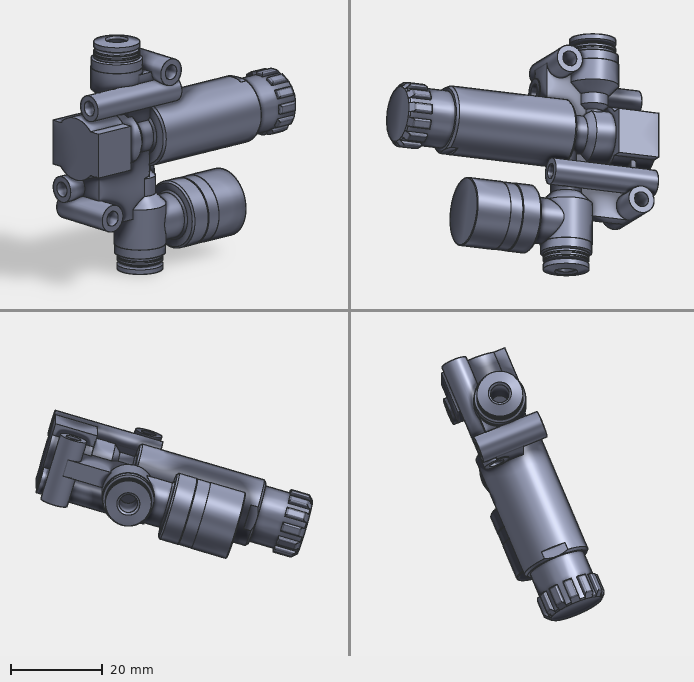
import cadquery as cq


total_length = 59.0
width = 15.0
block_length = 9.5
block_height = 10.0
block_round_d = 14.0
valve_front_d = 11.8
valve_front_end = 14.1
valve_neck_d = 8.85
valve_neck_start = 15.6
barrel_d = 15.0
barrel_start = 19.35
barrel_front_chamfer = 0.5
barrel_end = 48.1
barrel_end_chamfer = 0.55
flat_offset = 6.95
flat_length = 2.2
collar_d = 12.6
neck_flare = 0.5

knob_d = 14.2
knob_length = 5.25
knob_chamfer = 1.1
tooth_count = 12
tooth_width = 2.0
tooth_rounding = 0.35

tube_d = 11.45
tube_end_ring_d = 11.2
tube_end_ring_length = 2.0
fitting_neck_d = 6.8
fitting_stem_d = 4.55
seat_d = 9.7
rib_d = 10.1
rib_width = 0.55
rib_offsets = (0.25, 1.1)
seat_length = 1.95
release_neck_d = 6.0
release_start = 2.65
release_edge_end = 3.7
fitting_tip = 4.2
bore_mouth_d = 5.0
bore_d = 4.0
bore_depth = 10.6

upper_x = -1.0
upper_y = 12.9
upper_tube_end = 18.05
upper_tube_length = 6.7
upper_neck_length = 2.35
lower_y = 18.8
lower_tube_end = 26.95
lower_tube_length = 11.15
lower_neck_length = 4.0

port_z = -20.3
port_d = 15.0
port_band_d = 14.85
port_neck_d = 10.1
port_start = 27.8
port_band_start = 32.4
port_band_end = 35.3
port_end = 43.3
port_front_chamfer = 0.4
port_end_chamfer = 0.2
port_groove_width = 0.2
port_groove_depth = 0.2

cross_tube_d = 6.0
long_tube_d = 5.8
mount_hole_d = 3.3
long_tube_length = 24.5
long_tube_x = 4.5
long_tube_z = 10.15
cross_tube_z = 15.0
upper_cross_y = 21.25
lower_cross_y = 4.15
upper_web_x = -1.95
upper_link_x = 2.65
lower_web_x = (-0.7, 3.05)
rib_plate_thickness = 1.1
rib_plate_reach = 4.4


def turned(profile):
    """Solid of revolution about Z from (diameter, height) pairs."""
    points = [(0, profile[0][1])]
    points += [(diameter / 2, height) for diameter, height in profile]
    points += [(0, profile[-1][1])]
    return cq.Workplane("XZ").polyline(points).close().revolve(360, (0, 0), (0, 1))


def along_y(solid):
    """Turn a solid built along +Z so that it runs along +Y."""
    return solid.rotate((0, 0, 0), (1, 0, 0), -90)


def box(x_range, y_range, z_range):
    lengths = [high - low for low, high in (x_range, y_range, z_range)]
    corner = (x_range[0], y_range[0], z_range[0])
    return cq.Workplane("XY").box(*lengths, centered=False).translate(corner)


def rod_y(diameter, length, x, z):
    return along_y(cq.Workplane("XY").circle(diameter / 2).extrude(length)).translate((x, 0, z))


def rod_x(diameter, y, z):
    rod = cq.Workplane("YZ").circle(diameter / 2).extrude(width)
    return rod.translate((-width / 2, y, z))


def make_valve():
    collar_chamfer = knob_chamfer - (knob_d - collar_d) / 2
    body = along_y(turned([
        (block_round_d, 0),
        (block_round_d, block_length),
        (valve_front_d, block_length),
        (valve_front_d, valve_front_end),
        (valve_neck_d, valve_neck_start),
        (valve_neck_d, barrel_start - neck_flare),
        (valve_neck_d + 2 * neck_flare, barrel_start),
        (barrel_d - 2 * barrel_front_chamfer, barrel_start),
        (barrel_d, barrel_start + barrel_front_chamfer),
        (barrel_d, barrel_end - barrel_end_chamfer),
        (barrel_d - 2 * barrel_end_chamfer, barrel_end),
        (collar_d, barrel_end),
        (collar_d, total_length - collar_chamfer),
        (collar_d - 2 * collar_chamfer, total_length),
    ]))
    block = box(
        (-width / 2, width / 2),
        (0, block_length),
        (-block_height / 2, block_height / 2),
    )
    flat_cut = box(
        (-barrel_d, barrel_d),
        (barrel_end - flat_length, barrel_end),
        (flat_offset, barrel_d),
    )
    return body.cut(flat_cut).cut(flat_cut.mirror("XY")).union(block)


def make_knob_teeth():
    """Teeth around the collar, rounded over the tip and chamfered toward the end face."""
    start = total_length - knob_length
    root = collar_d / 2 - knob_chamfer
    tip = knob_d / 2
    side = [
        (start, root),
        (start, tip),
        (total_length - knob_chamfer, tip),
        (total_length, tip - knob_chamfer),
        (total_length, root),
    ]
    tooth = cq.Workplane("YZ").polyline(side).close().extrude(tooth_width / 2, both=True)
    tooth = tooth.faces(">Z").edges().fillet(tooth_rounding)
    teeth = cq.Workplane("XY")
    for index in range(tooth_count):
        teeth = teeth.union(tooth.rotate((0, 0, 0), (0, 1, 0), index * 360 / tooth_count))
    return teeth


def make_fitting(tube_end, tube_length, neck_length):
    """Push-in fitting that rises along +Z from the origin."""
    tube_start = tube_end - tube_length
    neck_end = tube_start - (tube_d - fitting_neck_d) / 2
    neck_start = neck_end - neck_length
    stem_end = neck_start - (fitting_neck_d - fitting_stem_d) / 2
    profile = [
        (fitting_stem_d, 0),
        (fitting_stem_d, stem_end),
        (fitting_neck_d, neck_start),
        (fitting_neck_d, neck_end),
        (tube_d, tube_start),
        (tube_d, tube_end - tube_end_ring_length),
        (tube_end_ring_d, tube_end - tube_end_ring_length),
        (tube_end_ring_d, tube_end),
    ]
    for offset in rib_offsets:
        profile += [
            (seat_d, tube_end + offset),
            (rib_d, tube_end + offset),
            (rib_d, tube_end + offset + rib_width),
            (seat_d, tube_end + offset + rib_width),
        ]
    profile += [
        (seat_d, tube_end + seat_length),
        (release_neck_d, tube_end + seat_length),
        (release_neck_d, tube_end + release_start),
        (rib_d, tube_end + release_start),
        (rib_d, tube_end + release_edge_end),
        (bore_mouth_d, tube_end + fitting_tip),
    ]
    return turned(profile)


def make_bore(tube_end):
    """Tube bore with a chamfered mouth at the tip of a fitting."""
    tip = tube_end + fitting_tip
    return turned([
        (bore_d, tip - bore_depth),
        (bore_d, tip - (bore_mouth_d - bore_d) / 2),
        (bore_mouth_d, tip),
    ])


def place_upper(solid):
    return solid.translate((upper_x, upper_y, 0))


def place_lower(solid):
    return solid.mirror("XY").translate((0, lower_y, 0))


def make_port():
    groove_d = port_d - 2 * port_groove_depth
    port = turned([
        (port_neck_d, lower_y),
        (port_neck_d, port_start - neck_flare),
        (port_neck_d + 2 * neck_flare, port_start),
        (port_d - 2 * port_front_chamfer, port_start),
        (port_d, port_start + port_front_chamfer),
        (port_d, port_band_start - port_groove_width),
        (groove_d, port_band_start - port_groove_width),
        (groove_d, port_band_start),
        (port_band_d, port_band_start),
        (port_band_d, port_band_end),
        (port_d, port_band_end),
        (port_d, port_end - port_end_chamfer),
        (port_d - 2 * port_end_chamfer, port_end),
    ])
    return along_y(port).translate((0, 0, port_z))


def make_webs():
    tube_near = long_tube_z - long_tube_d / 2
    web_end = upper_cross_y + cross_tube_d / 2
    upper = box((upper_web_x, long_tube_x), (upper_y, web_end), (tube_near, cross_tube_z))
    upper_link = box((upper_web_x, upper_link_x), (upper_y, barrel_start), (0, tube_near))
    web_bottom = -cross_tube_z - cross_tube_d / 2
    lower = box(lower_web_x, (lower_cross_y, lower_y), (web_bottom, 0))
    rib_plate = box(
        (-rib_plate_reach, lower_web_x[1]),
        (lower_cross_y, lower_cross_y + rib_plate_thickness),
        (-cross_tube_z, 0),
    )
    return upper.union(upper_link).union(lower).union(rib_plate)


def make_mount_rods(diameter_long, diameter_cross):
    rods = rod_y(diameter_long, long_tube_length, long_tube_x, long_tube_z)
    rods = rods.union(rod_y(diameter_long, long_tube_length, -long_tube_x, -long_tube_z))
    rods = rods.union(rod_x(diameter_cross, upper_cross_y, cross_tube_z))
    return rods.union(rod_x(diameter_cross, lower_cross_y, -cross_tube_z))


upper_fitting = place_upper(make_fitting(upper_tube_end, upper_tube_length, upper_neck_length))
lower_fitting = place_lower(make_fitting(lower_tube_end, lower_tube_length, lower_neck_length))

result = make_valve().union(make_knob_teeth()).union(make_webs())
result = result.union(upper_fitting).union(lower_fitting).union(make_port())
result = result.union(make_mount_rods(long_tube_d, cross_tube_d))
result = result.cut(make_mount_rods(mount_hole_d, mount_hole_d))
result = result.cut(place_upper(make_bore(upper_tube_end)))
result = result.cut(place_lower(make_bore(lower_tube_end)))